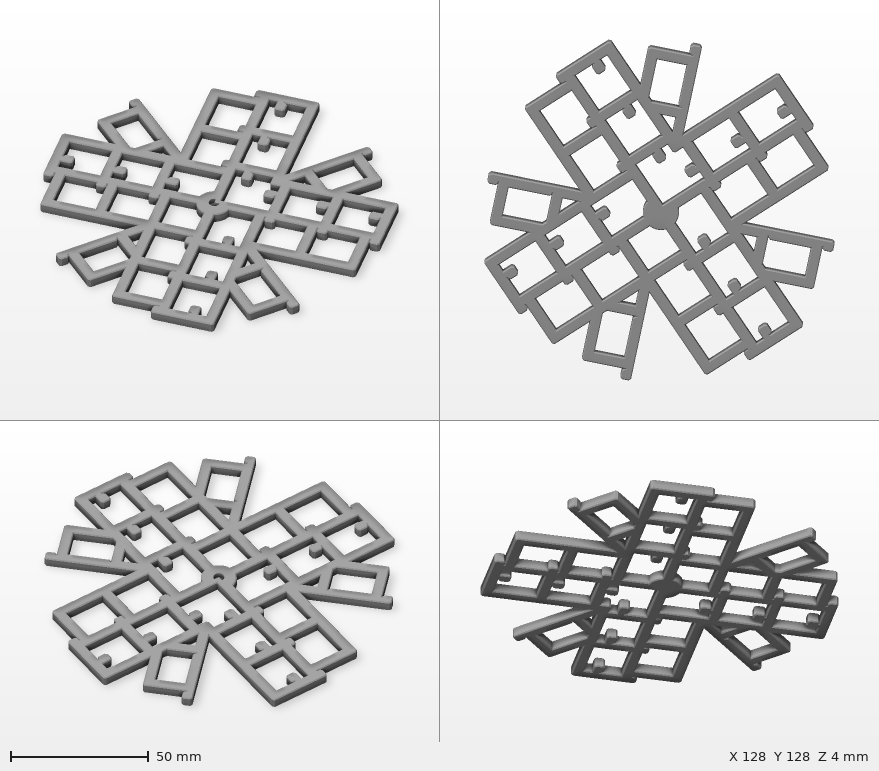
import cadquery as cq

overall = 128.0
bar = overall / 32
face_chamfer = 0.4
corner_chamfer = 0.8
pitch = 5 * bar
half = bar / 2
reach = overall / 2

arm_half_width = pitch
short_reach = reach - bar
rail_inner = arm_half_width - bar
cells_long = 3
cells_short = 2
peg_low = 1.75 * bar
peg_high = 2.75 * bar
peg_length = bar + 0.4
notch = 1.2

diagonal_half_width = 4.25 * bar
diagonal_start = 6 * bar

hub_radius = 6.5
socket_radius = bar / 2
socket_depth = bar / 2


def beam(x_start, x_end, y_start, y_end):
    """Chamfered block of full thickness between the given limits, standing on Z = 0."""
    block = cq.Workplane("XY").box(x_end - x_start, y_end - y_start, bar, centered=False)
    block = block.edges("|Z").chamfer(corner_chamfer)
    block = block.faces("<Z or >Z").edges().chamfer(face_chamfer)
    return block.translate((x_start, y_start, 0))


def merge(parts):
    """Union of a list of parts."""
    solids = [part.val() for part in parts]
    return cq.Workplane(solids[0].fuse(*solids[1:]))


def peg(root, position, notch_side):
    """Peg along -X from the bar face at X = root, with a root notch on its +Y or -Y side."""
    tip = root - peg_length
    low = position - half
    high = position + half
    head = beam(tip, root, low, high)
    if notch_side > 0:
        neck = beam(tip + half, root + half, low, high - notch)
    else:
        neck = beam(tip + half, root + half, low + notch, high)
    return head.union(neck)


def straight_arm(rail_start, peg_position, notch_side):
    """Arm along +X with its long row on +Y; both outer rails begin at rail_start."""
    parts = [
        beam(-half, reach, -half, half),
        beam(rail_start, reach, rail_inner, arm_half_width),
        beam(rail_start, short_reach, -arm_half_width, -rail_inner),
    ]
    for i in range(cells_long):
        outer = reach - i * pitch
        inner = outer - bar
        parts.append(beam(inner, outer, -bar, arm_half_width))
        parts.append(peg(inner, peg_position, notch_side))
    for i in range(cells_short):
        outer = short_reach - i * pitch
        parts.append(beam(outer - bar, outer, -arm_half_width, 0))
    return merge(parts)


def diagonal_arm(angle):
    """Single-cell arm pointing at the given angle, its cell on the counterclockwise side."""
    parts = [
        beam(diagonal_start, short_reach - pitch, -half, half),
        beam(short_reach - pitch, short_reach, -half, half),
        beam(short_reach, reach, -half, half),
        beam(diagonal_start, reach - half, -half, half - notch),
        beam(diagonal_start, short_reach, diagonal_half_width - bar, diagonal_half_width),
    ]
    for outer in (short_reach, short_reach - pitch):
        parts.append(beam(outer - bar, outer, 0, diagonal_half_width))
    return merge(parts).rotate((0, 0, 0), (0, 0, 1), angle)


def quadrant(radius, height, angle):
    """Quarter disc between +X and +Y, turned by angle, standing on Z = 0."""
    sector = cq.Workplane("XY").lineTo(radius, 0).radiusArc((0, radius), -radius).close()
    return sector.extrude(height).rotate((0, 0, 0), (0, 0, 1), angle)


right_arm = straight_arm(rail_inner, peg_high, -1)
left_arm = straight_arm(0, peg_low, 1).mirror("YZ")
upper_arm = straight_arm(rail_inner, peg_low, 1).rotate((0, 0, 0), (0, 0, 1), 90).mirror("YZ")
lower_arm = straight_arm(0, peg_high, -1).rotate((0, 0, 0), (0, 0, 1), -90)

trim = arm_half_width - half
cross = cq.Workplane("XY").rect(2 * overall, 2 * trim).extrude(bar)
cross = cross.union(cq.Workplane("XY").rect(2 * trim, 2 * overall).extrude(bar))
left_diagonals = diagonal_arm(135).union(diagonal_arm(225)).cut(cross)
right_diagonals = left_diagonals.mirror("YZ")

hub = cq.Workplane("XY").circle(hub_radius).extrude(bar).edges().chamfer(face_chamfer)
hub = hub.cut(quadrant(overall, bar, 0))
body = merge([right_arm, left_arm, upper_arm, lower_arm, left_diagonals, right_diagonals, hub])
socket = merge([quadrant(socket_radius, socket_depth, angle) for angle in (90, 180, 270)])
result = body.cut(socket.translate((0, 0, bar - socket_depth)))